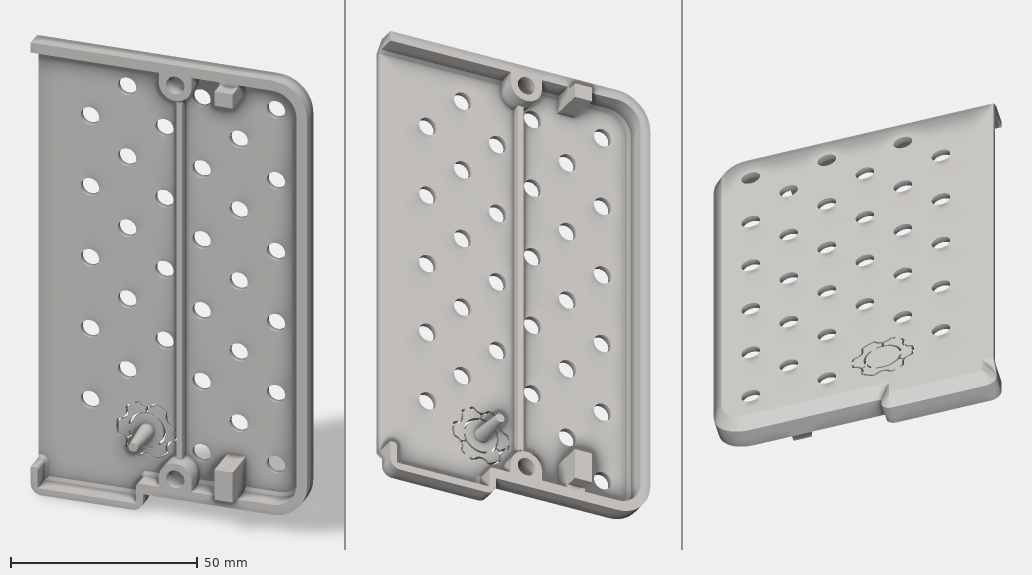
import cadquery as cq

width = 78.74
height = 134.83
body_depth = 8.0
floor_thickness = 1.7
back_chamfer = 3.0
floor_chamfer = 0.9
bevel_angle = 45

plate_bottom = 5.1
plate_corner_radius = 10.0
plate_wall = 3.0
tab_width = 32.0
tab_wall = 2.0
tab_corner_radius = back_chamfer + 0.01
pocket_bottom = plate_bottom + plate_wall
pocket_top = height - plate_wall
pocket_corner_radius = plate_corner_radius - plate_wall
tab_mouth_radius = 1.0

boss_x = 41.2
boss_radius = 4.65
boss_hole_diameter = 5.2
boss_edge_offset = 6.0
lower_boss_z = plate_bottom + boss_edge_offset
upper_boss_z = height - boss_edge_offset
rib_width = 1.6
rib_height = 3.0

block_left = 53.8
block_width = 5.2
block_tip_depth = 12.0
block_wall_gap = 0.9
lower_block_length = 8.9
upper_block_length = 4.2

vent_diameter = 5.2
vent_pitch = 10.6
vent_columns = 6
vent_rows = 11
vent_first_x = 14.6
vent_first_z = 17.0
omitted_vents = ((1, 0), (2, 1))

peg_x = 30.8
peg_z = 21.1
peg_tip_depth = 12.6
peg_base_radius = 2.15
peg_tip_radius = 1.3
slot_width = 0.6
ring_radius = 5.05
wheel_radius = 8.4
lobe_corner_radius = 0.8
lobe_count = 6
notch_radius = 2.5
notch_center_radius = 9.35
bridge_width = 1.6
bridge_count = 3


def front_plane(depth):
    """Sketch plane facing -Y, the given depth in front of the back face."""
    return cq.Workplane("XZ", origin=(0, -depth, 0))


def block(x_min, x_max, z_min, z_max, depth_min, depth_max):
    return (
        front_plane(depth_min)
        .moveTo((x_min + x_max) / 2, (z_min + z_max) / 2)
        .rect(x_max - x_min, z_max - z_min)
        .extrude(depth_max - depth_min)
    )


def make_plate():
    plate = block(0, width, plate_bottom, height, 0, body_depth)
    plate = plate.edges("|Y and >X").fillet(plate_corner_radius)
    return plate.faces(">Y").edges("not <X").chamfer(back_chamfer)


def make_tab():
    tab = block(0, tab_width, 0, pocket_bottom, 0, body_depth)
    tab = tab.edges("|Y and <Z").fillet(tab_corner_radius)
    return tab.faces(">Y").edges("not >Z").chamfer(back_chamfer)


def pocket_outline(depth):
    """Closed outline of the pocket, running past the open left edge of the plate."""
    left = tab_wall
    right = tab_width - tab_wall
    side = width - plate_wall
    corner = pocket_corner_radius
    mouth = tab_mouth_radius
    return (
        front_plane(depth)
        .moveTo(-plate_wall, pocket_bottom)
        .lineTo(left - mouth, pocket_bottom)
        .tangentArcPoint((left, pocket_bottom - mouth), relative=False)
        .lineTo(left, tab_wall)
        .lineTo(right, tab_wall)
        .lineTo(right, pocket_bottom - mouth)
        .tangentArcPoint((right + mouth, pocket_bottom), relative=False)
        .lineTo(side - corner, pocket_bottom)
        .tangentArcPoint((side, pocket_bottom + corner), relative=False)
        .lineTo(side, pocket_top - corner)
        .tangentArcPoint((side - corner, pocket_top), relative=False)
        .lineTo(-plate_wall, pocket_top)
        .close()
    )


def make_pocket():
    """Straight-walled pocket whose last stretch narrows to bevel the foot of the wall."""
    bevel_depth = floor_thickness + floor_chamfer
    straight = pocket_outline(bevel_depth).extrude(body_depth - bevel_depth)
    bevel = pocket_outline(bevel_depth).extrude(-floor_chamfer, taper=bevel_angle)
    return straight.union(bevel)


def make_boss(boss_z, rim_z):
    """Round boss joined to the rim at rim_z by straight sides."""
    depth = body_depth - floor_thickness
    post = front_plane(floor_thickness).moveTo(boss_x, boss_z).circle(boss_radius).extrude(depth)
    neck = block(
        boss_x - boss_radius,
        boss_x + boss_radius,
        min(boss_z, rim_z),
        max(boss_z, rim_z),
        floor_thickness,
        body_depth,
    )
    return post.union(neck)


def make_boss_hole(boss_z):
    depth = body_depth - floor_thickness
    return front_plane(floor_thickness).moveTo(boss_x, boss_z).circle(boss_hole_diameter / 2).extrude(depth)


def make_rib():
    return block(
        boss_x - rib_width / 2,
        boss_x + rib_width / 2,
        lower_boss_z + boss_hole_diameter / 2,
        upper_boss_z - boss_hole_diameter / 2,
        floor_thickness,
        floor_thickness + rib_height,
    )


def make_locating_block(wall_z, length, inward):
    """Block against the wall at wall_z; its protruding tip stands clear of that wall."""
    right = block_left + block_width
    gap_z = wall_z + inward * block_wall_gap
    end_z = gap_z + inward * length
    root_range = sorted((wall_z, end_z))
    tip_range = sorted((gap_z, end_z))
    root = block(block_left, right, *root_range, floor_thickness, body_depth)
    tip = block(block_left, right, *tip_range, floor_thickness, block_tip_depth)
    return root.union(tip)


def make_vents():
    """Checkerboard of round holes: odd columns sit on even rows and the other way round."""
    centers = [
        (vent_first_x + column * vent_pitch, vent_first_z + row * vent_pitch)
        for column in range(vent_columns)
        for row in range(vent_rows)
        if (column + row) % 2 == 1 and (column, row) not in omitted_vents
    ]
    return front_plane(0).pushPoints(centers).circle(vent_diameter / 2).extrude(floor_thickness)


def make_peg():
    profile = (
        cq.Workplane("XY", origin=(peg_x, 0, peg_z))
        .moveTo(0, -floor_thickness)
        .lineTo(peg_base_radius, -floor_thickness)
        .lineTo(peg_tip_radius, -peg_tip_depth)
        .lineTo(0, -peg_tip_depth)
        .close()
    )
    return profile.revolve(360, (0, 0, 0), (0, 1, 0))


def floor_disc(radius):
    return front_plane(0).moveTo(peg_x, peg_z).circle(radius).extrude(floor_thickness)


def lobed_disc(offset):
    """Disc with round notches between its lobes, grown outward by offset."""
    notches = (
        front_plane(0)
        .center(peg_x, peg_z)
        .polarArray(notch_center_radius, 180 / lobe_count, 360, lobe_count)
        .circle(notch_radius - offset)
        .extrude(floor_thickness)
    )
    wheel = floor_disc(wheel_radius + offset).cut(notches)
    return wheel.edges("|Y").fillet(lobe_corner_radius + offset)


def make_spokes(start_angle, spoke_width, inner_radius, outer_radius):
    """Three evenly spaced radial bars through the floor, centred on the peg."""
    half_width = spoke_width / 2
    spoke = block(
        peg_x + inner_radius,
        peg_x + outer_radius,
        peg_z - half_width,
        peg_z + half_width,
        0,
        floor_thickness,
    )
    axis_start = (peg_x, 0, peg_z)
    axis_end = (peg_x, -1, peg_z)
    spokes = cq.Workplane("XZ")
    for index in range(bridge_count):
        spokes = spokes.add(spoke.rotate(axis_start, axis_end, start_angle + index * 360 / bridge_count))
    return spokes.combine()


def make_wheel_slots():
    """Narrow through slots: a ring and a lobed outline, bridged at alternate lobes.

    Radial slots join the two at every other notch, which leaves three springy arms.
    """
    half_slot = slot_width / 2
    ring = floor_disc(ring_radius + half_slot).cut(floor_disc(ring_radius - half_slot))
    outline = lobed_disc(half_slot).cut(lobed_disc(-half_slot))
    outer_bridge_angle = 0
    inner_bridge_angle = 180 / bridge_count
    link_angle = 90
    outer_bridges = make_spokes(outer_bridge_angle, bridge_width, 0, 2 * wheel_radius)
    inner_bridges = make_spokes(inner_bridge_angle, bridge_width, 0, 2 * wheel_radius)
    notch_floor_radius = notch_center_radius - notch_radius
    links = make_spokes(link_angle, slot_width, ring_radius, notch_floor_radius)
    return ring.cut(inner_bridges).union(outline.cut(outer_bridges)).union(links)


result = make_plate().union(make_tab()).cut(make_pocket())
result = result.union(make_rib())
result = result.union(make_boss(lower_boss_z, pocket_bottom)).union(make_boss(upper_boss_z, pocket_top))
result = result.union(make_locating_block(pocket_bottom, lower_block_length, 1))
result = result.union(make_locating_block(pocket_top, upper_block_length, -1))
result = result.union(make_peg())
result = result.cut(make_vents()).cut(make_wheel_slots())
for boss_z in (lower_boss_z, upper_boss_z):
    result = result.cut(make_boss_hole(boss_z))